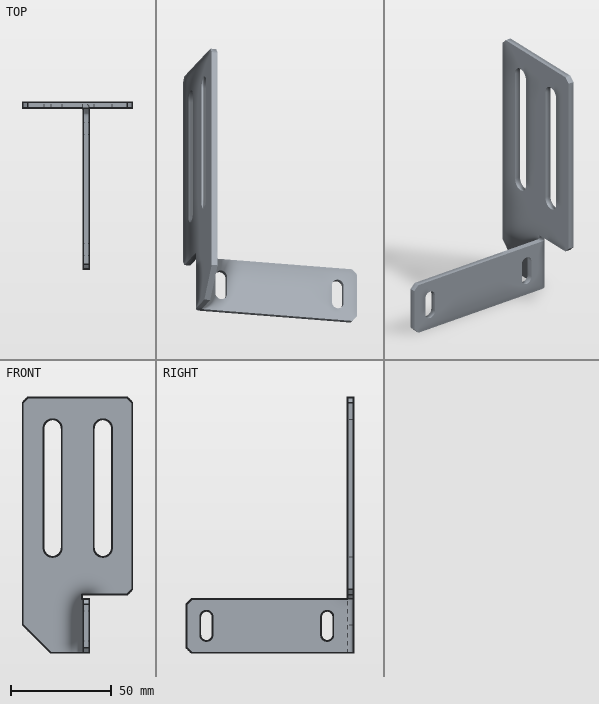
import cadquery as cq

thickness = 3.0
bend_inner_radius = 0.5
bend_outer_radius = bend_inner_radius + thickness

plate_width = 54.5
plate_height = 127.0
corner_chamfer = 2.5
lower_left_chamfer = 14.0
notch_height = 29.0

arm_reach = 83.0
arm_height = 26.8
arm_outer_x = 33.1
arm_inner_x = arm_outer_x - thickness
bend_start_x = arm_outer_x - bend_outer_radius

plate_slot_width = 8.9
plate_slot_length = 68.3
plate_slot_z = 81.9
plate_slot_xs = (14.9, 39.9)
arm_slot_width = 6.0
arm_slot_length = 14.9
arm_slot_z = arm_height / 2
arm_slot_depths = (13.1, 73.2)


def make_plate():
    """Flat upright plate with a notch at its lower right, ending where the bend starts."""
    outline = [
        (lower_left_chamfer, 0),
        (bend_start_x, 0),
        (bend_start_x, notch_height),
        (plate_width - corner_chamfer, notch_height),
        (plate_width, notch_height + corner_chamfer),
        (plate_width, plate_height - corner_chamfer),
        (plate_width - corner_chamfer, plate_height),
        (corner_chamfer, plate_height),
        (0, plate_height - corner_chamfer),
        (0, lower_left_chamfer),
    ]
    plate = cq.Workplane("XZ").polyline(outline).close().extrude(thickness)
    slots = (
        cq.Workplane("XZ")
        .pushPoints([(x, plate_slot_z) for x in plate_slot_xs])
        .slot2D(plate_slot_length, plate_slot_width, 90)
        .extrude(thickness)
    )
    return plate.cut(slots)


def make_arm():
    """Bend and flat arm, with chamfered corners at the free end."""
    arm = (
        cq.Workplane("XY")
        .moveTo(bend_start_x, 0)
        .radiusArc((arm_outer_x, -bend_outer_radius), bend_outer_radius)
        .lineTo(arm_outer_x, -arm_reach)
        .lineTo(arm_inner_x, -arm_reach)
        .lineTo(arm_inner_x, -bend_outer_radius)
        .radiusArc((bend_start_x, -thickness), -bend_inner_radius)
        .close()
        .extrude(arm_height)
    )
    arm = arm.faces("<Y").edges("|X").chamfer(corner_chamfer)
    slots = (
        cq.Workplane("YZ", origin=(arm_inner_x, 0, 0))
        .pushPoints([(-depth, arm_slot_z) for depth in arm_slot_depths])
        .slot2D(arm_slot_length, arm_slot_width, 90)
        .extrude(thickness)
    )
    return arm.cut(slots)


result = make_plate().union(make_arm())